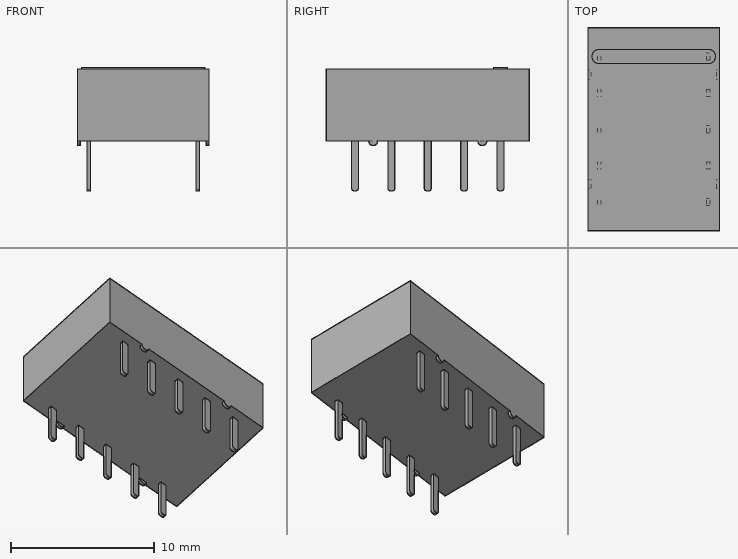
import cadquery as cq

body_width = 9.2
body_length = 14.2
body_height = 5.04

bar_length = 8.63
bar_width = 1.0
bar_height = 0.1

pin_pitch = 2.54
pins_per_row = 5
row_spacing = 3 * pin_pitch
pin_thickness = 0.25
pin_width = 0.5
pin_length = 3.5
pin_tip_radius = 0.2

foot_diameter = 0.64
foot_radius = foot_diameter / 2
foot_thickness = 0.21
foot_spacing = 3 * pin_pitch

first_pin_y = -pin_pitch * (pins_per_row - 1) / 2
last_pin_y = -first_pin_y


def make_body():
    return cq.Workplane("XY").box(body_width, body_length, body_height, centered=(True, True, False))


def make_bar():
    """Bar across the body, in line with the last pair of pins."""
    return (
        cq.Workplane("XY", origin=(0, last_pin_y, body_height))
        .slot2D(bar_length, bar_width)
        .extrude(bar_height)
    )


def make_pin(x, y):
    """Pin hanging from the underside, with its two tip corners rounded."""
    return (
        cq.Workplane("XY", origin=(x, y, -pin_length))
        .box(pin_thickness, pin_width, pin_length, centered=(True, True, False))
        .edges("|X and <Z")
        .fillet(pin_tip_radius)
    )


def make_foot(x, y):
    """Half disc below the underside, lying in a plane across X."""
    return (
        cq.Workplane("YZ", origin=(x, y, 0))
        .moveTo(-foot_radius, 0)
        .threePointArc((0, -foot_radius), (foot_radius, 0))
        .close()
        .extrude(foot_thickness / 2, both=True)
    )


result = make_body().union(make_bar())

for side in (-1, 1):
    for index in range(pins_per_row):
        result = result.union(make_pin(side * row_spacing / 2, first_pin_y + index * pin_pitch))

    foot_x = side * (body_width - foot_thickness) / 2
    for end in (-1, 1):
        result = result.union(make_foot(foot_x, end * foot_spacing / 2))